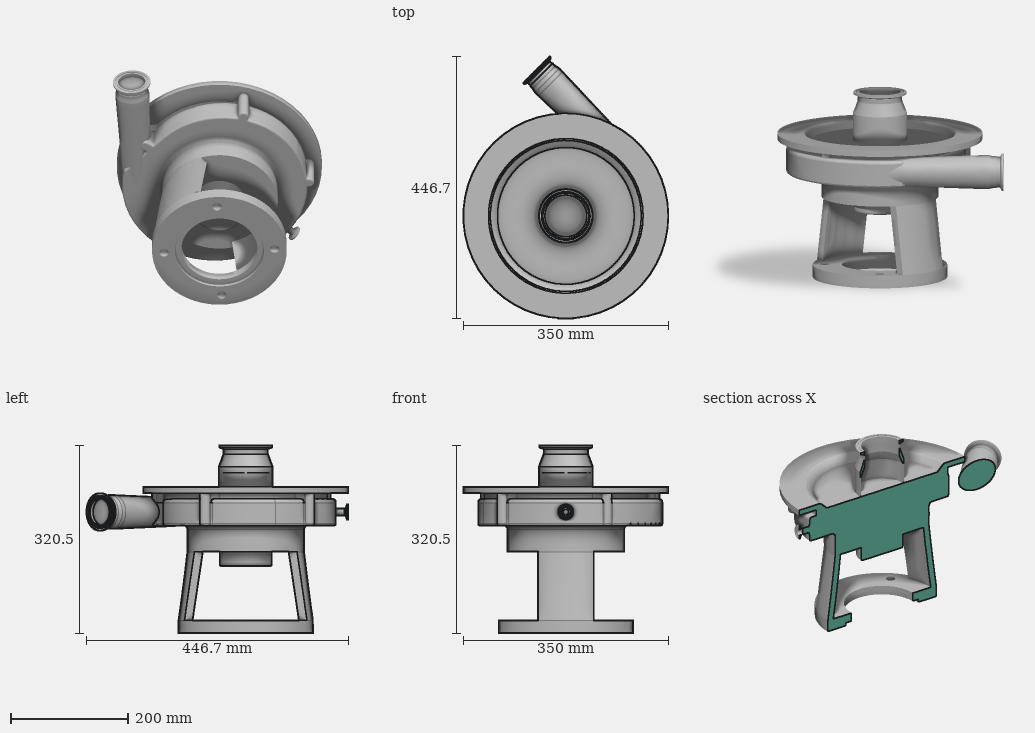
import cadquery as cq
import math

BASE_TOP = 21.5
SEAL_BOTTOM = 114.0
ADAPTER_BOTTOM = 139.0
CASING_BOTTOM = 183.0
CASING_TOP = 228.8
PLATE_BOTTOM = 238.5
PLATE_TOP = 249.5
INLET_TOP = 320.5

BASE_RADIUS = 115.0
BASE_BORE_RADIUS = 65.0
BASE_RECESS_RADIUS = 76.0
BASE_RECESS_DEPTH = 5.5
BOLT_CIRCLE_RADIUS = 94.5
BOLT_HOLE_RADIUS = 8.0
BOLT_COUNT = 4
FIRST_BOLT_ANGLE = 45

LEG_WIDTH = 95.5
LEG_WALL = 12.5
ADAPTER_RADIUS = 99.5

SEAL_RADIUS = 44.5
SEAL_FILLET = 4.0

CASING_RADIUS = 157.7
CASING_CENTRE = (7.0, 4.0)
TONGUE_RADIUS = 142.0
TONGUE_START_ANGLE = 200
TONGUE_END_ANGLE = 92
OUTLET_SIDE_ANGLE = 60
CASING_TOP_ROUND = 6.3
CASING_BOTTOM_ROUND = 3.5
COLLAR_RADIUS = 139.5
NECK_FILLET = 6.3

POST_RADIUS = 9.0
POST_COUNT = 5
POST_CIRCLE_RADIUS = 153.0
FIRST_POST_ANGLE = 9
WALL_BLEND = 2.2
COLLAR_BLEND = 12.5
POST_ANGLES = [FIRST_POST_ANGLE + index * 360 / POST_COUNT for index in range(POST_COUNT)]

TOLERANCE = 0.05

PLATE_DIAMETER = 350.0
DISH_FLOOR = PLATE_TOP - 12.5
DISH_RIM_RADIUS = 132.0
DISH_WALL_TOP_RADIUS = 128.5
DISH_FLOOR_RADIUS = 116.5
DISH_RIM_DROP = 1.5

INLET_RADIUS = 46.0
INLET_NECK_RADIUS = 38.0
INLET_FLANGE_RADIUS = 45.0
INLET_FLANGE_THICKNESS = 4.0
INLET_FLANGE_TAPER = 2.5
INLET_CONE_BOTTOM = 283.7
INLET_CONE_TOP = 305.0
INLET_BORE_RADIUS = 35.7
INLET_GROOVE_RADIUS = 40.0
INLET_WIDE_BORE_RADIUS = 44.2
INLET_BORE_CONE_BOTTOM = 273.5
INLET_BORE_CONE_TOP = 291.8

OUTLET_HEIGHT = 206.5
OUTLET_OFFSET = 140.7
OUTLET_SWING = 45
OUTLET_LENGTH = 211.5
OUTLET_FLANGE_RADIUS = 32.0
OUTLET_FLANGE_THICKNESS = 2.5
OUTLET_FLANGE_TAPER = 2.5
OUTLET_NECK_RADIUS = 26.5
OUTLET_NECK_END = 11.5
OUTLET_BEAD_RADIUS = 27.3
OUTLET_BEAD_END = 17.5
OUTLET_PIPE_RADIUS = 29.0
OUTLET_COLLAR_START = 25.0
OUTLET_COLLAR_END = 33.0
OUTLET_ROOT_RADIUS = 23.2
OUTLET_BORE_RADIUS = 23.2
OUTLET_BORE_DEPTH = 7.5
OUTLET_GROOVE_RADIUS = 27.0

NOZZLE_TIP = 175.0
NOZZLE_RADIUS = 6.3
NOZZLE_FLANGE_RADIUS = 13.0
NOZZLE_FLANGE_THICKNESS = 2.5
NOZZLE_FLANGE_TAPER = 2.2
NOZZLE_BORE_RADIUS = 5.0
NOZZLE_BORE_DEPTH = 7.5
NOZZLE_GROOVE_RADIUS = 9.5

GROOVE_WIDTH = 2.2
GROOVE_DEPTH = 1.1


def disc(radius, bottom, top, centre=(0, 0)):
    """Upright cylinder between two heights."""
    return cq.Workplane("XY", origin=(*centre, bottom)).circle(radius).extrude(top - bottom)


def turned(points):
    """Solid of revolution about Z from (radius, height) corner points."""
    return cq.Workplane("XZ").polyline(points).close().revolve(360, (0, 0), (0, 1))


def gasket_groove(radius, face):
    """Shallow ring, to be cut from an upward flange face at the given height."""
    outer = disc(radius + GROOVE_WIDTH / 2, face - GROOVE_DEPTH, face)
    return outer.cut(disc(radius - GROOVE_WIDTH / 2, face - GROOVE_DEPTH, face))


def make_base():
    """Base ring standing on the ground plane."""
    base = disc(BASE_RADIUS, 0, BASE_TOP).cut(disc(BASE_BORE_RADIUS, 0, BASE_TOP))
    base = base.cut(disc(BASE_RECESS_RADIUS, 0, BASE_RECESS_DEPTH))
    holes = (
        cq.Workplane("XY")
        .polarArray(BOLT_CIRCLE_RADIUS, FIRST_BOLT_ANGLE, 360, BOLT_COUNT)
        .circle(BOLT_HOLE_RADIUS)
        .extrude(BASE_TOP)
    )
    return base.cut(holes)


def make_legs():
    """Two opposite legs, one on the front and one on the back, between base and adapter."""
    shell = turned([
        (BASE_RADIUS - LEG_WALL, BASE_TOP),
        (BASE_RADIUS, BASE_TOP),
        (ADAPTER_RADIUS, ADAPTER_BOTTOM),
        (ADAPTER_RADIUS - LEG_WALL, ADAPTER_BOTTOM),
    ])
    slab = cq.Workplane("XY").box(LEG_WIDTH, 2 * BASE_RADIUS, ADAPTER_BOTTOM, centered=(True, True, False))
    return shell.intersect(slab)


def make_adapter():
    """Neck flaring into the casing, with the seal housing hanging from it."""
    seal = disc(SEAL_RADIUS, SEAL_BOTTOM, ADAPTER_BOTTOM).faces("<Z").edges().fillet(SEAL_FILLET)
    neck_top_radius = ADAPTER_RADIUS + NECK_FILLET
    fillet_start = CASING_BOTTOM - NECK_FILLET
    arc_reach = NECK_FILLET * (1 - math.sqrt(0.5))
    neck = (
        cq.Workplane("XZ")
        .moveTo(0, ADAPTER_BOTTOM)
        .lineTo(ADAPTER_RADIUS, ADAPTER_BOTTOM)
        .lineTo(ADAPTER_RADIUS, fillet_start)
        .threePointArc(
            (ADAPTER_RADIUS + arc_reach, CASING_BOTTOM - arc_reach),
            (neck_top_radius, CASING_BOTTOM),
        )
        .lineTo(0, CASING_BOTTOM)
        .close()
        .revolve(360, (0, 0), (0, 1))
    )
    return neck.union(seal)


def make_post(angle, bottom, top):
    """Round post with a flat-sided web of the same width running in to the pump axis."""
    height = top - bottom
    web = cq.Workplane("XY").box(POST_CIRCLE_RADIUS, 2 * POST_RADIUS, height, centered=(False, True, False))
    post = disc(POST_RADIUS, 0, height, (POST_CIRCLE_RADIUS, 0)).union(web)
    return post.translate((0, 0, bottom)).rotate((0, 0, 0), (0, 0, 1), angle)


def along_and_across(x, y, angle):
    """Split a point into distances along and across a direction given in degrees."""
    turn = math.radians(angle)
    along = x * math.cos(turn) + y * math.sin(turn)
    across = y * math.cos(turn) - x * math.sin(turn)
    return along, across


def add_posts(body, bottom, top, blend):
    """Join the posts to an upright body, with concave blends of the given radius."""
    for angle in POST_ANGLES:
        body = body.union(make_post(angle, bottom, top))

    def is_joint(edge):
        spot = edge.Center()
        for angle in POST_ANGLES:
            along, across = along_and_across(spot.x, spot.y, angle)
            on_flank = POST_RADIUS / 2 < abs(across) < POST_RADIUS + TOLERANCE
            flank_end = abs(along - POST_CIRCLE_RADIUS) < TOLERANCE
            if along > 0 and on_flank and not flank_end:
                return True
        return False

    return body.edges("|Z").filter(is_joint).fillet(blend)


def point_on_circle(centre, radius, angle):
    """Point of a circle in the direction given in degrees."""
    turn = math.radians(angle)
    return (centre[0] + radius * math.cos(turn), centre[1] + radius * math.sin(turn))


def make_volute(bottom, top):
    """Upright body whose wall follows a wide arc, a tighter one and a straight run below the outlet."""
    shift = CASING_RADIUS - TONGUE_RADIUS
    tongue_centre = point_on_circle(CASING_CENTRE, shift, TONGUE_START_ANGLE)
    casing_middle_angle = (TONGUE_START_ANGLE + OUTLET_SIDE_ANGLE + 360) / 2
    tongue_middle_angle = (TONGUE_START_ANGLE + TONGUE_END_ANGLE) / 2
    return (
        cq.Workplane("XY", origin=(0, 0, bottom))
        .moveTo(*point_on_circle(CASING_CENTRE, CASING_RADIUS, TONGUE_START_ANGLE))
        .threePointArc(
            point_on_circle(CASING_CENTRE, CASING_RADIUS, casing_middle_angle),
            point_on_circle(CASING_CENTRE, CASING_RADIUS, OUTLET_SIDE_ANGLE),
        )
        .lineTo(*point_on_circle(tongue_centre, TONGUE_RADIUS, TONGUE_END_ANGLE))
        .threePointArc(
            point_on_circle(tongue_centre, TONGUE_RADIUS, tongue_middle_angle),
            point_on_circle(CASING_CENTRE, CASING_RADIUS, TONGUE_START_ANGLE),
        )
        .close()
        .extrude(top - bottom)
    )


def make_casing():
    """Volute with rounded rims, its collar and the posts."""
    shoulder = CASING_TOP - CASING_TOP_ROUND
    body = make_volute(CASING_BOTTOM + CASING_BOTTOM_ROUND, CASING_TOP)
    body = body.faces(">Z").edges().fillet(CASING_TOP_ROUND)
    wall = add_posts(make_volute(CASING_BOTTOM, shoulder), CASING_BOTTOM, shoulder, WALL_BLEND)
    wall = wall.faces("<Z").edges().fillet(CASING_BOTTOM_ROUND)
    collar = add_posts(disc(COLLAR_RADIUS, shoulder, PLATE_BOTTOM), shoulder, PLATE_BOTTOM, COLLAR_BLEND)
    return wall.union(body).union(collar)


def make_plate():
    """Top plate, and the dish to be cut into it and the casing below."""
    plate = disc(PLATE_DIAMETER / 2, PLATE_BOTTOM, PLATE_TOP)
    dish = turned([
        (0, DISH_FLOOR),
        (DISH_FLOOR_RADIUS, DISH_FLOOR),
        (DISH_WALL_TOP_RADIUS, PLATE_TOP - DISH_RIM_DROP),
        (DISH_RIM_RADIUS, PLATE_TOP),
        (0, PLATE_TOP),
    ])
    return plate, dish


def make_inlet():
    """Flanged inlet pipe rising from the dish floor, bored down to that floor."""
    flange_bottom = INLET_TOP - INLET_FLANGE_THICKNESS
    pipe = turned([
        (0, DISH_FLOOR),
        (INLET_RADIUS, DISH_FLOOR),
        (INLET_RADIUS, INLET_CONE_BOTTOM),
        (INLET_NECK_RADIUS, INLET_CONE_TOP),
        (INLET_NECK_RADIUS, flange_bottom - INLET_FLANGE_TAPER),
        (INLET_FLANGE_RADIUS, flange_bottom),
        (INLET_FLANGE_RADIUS, INLET_TOP),
        (0, INLET_TOP),
    ])
    bore = turned([
        (0, DISH_FLOOR),
        (INLET_WIDE_BORE_RADIUS, DISH_FLOOR),
        (INLET_WIDE_BORE_RADIUS, INLET_BORE_CONE_BOTTOM),
        (INLET_BORE_RADIUS, INLET_BORE_CONE_TOP),
        (INLET_BORE_RADIUS, INLET_TOP),
        (0, INLET_TOP),
    ])
    return pipe.cut(bore).cut(gasket_groove(INLET_GROOVE_RADIUS, INLET_TOP))


def make_outlet():
    """Outlet pipe turned upright, then laid level and swung to its direction."""
    flange_back = OUTLET_LENGTH - OUTLET_FLANGE_THICKNESS
    pipe = turned([
        (0, 0),
        (OUTLET_ROOT_RADIUS, 0),
        (OUTLET_PIPE_RADIUS, OUTLET_LENGTH - OUTLET_COLLAR_END),
        (OUTLET_PIPE_RADIUS, OUTLET_LENGTH - OUTLET_COLLAR_START),
        (OUTLET_BEAD_RADIUS, OUTLET_LENGTH - OUTLET_BEAD_END),
        (OUTLET_BEAD_RADIUS, OUTLET_LENGTH - OUTLET_NECK_END),
        (OUTLET_NECK_RADIUS, OUTLET_LENGTH - OUTLET_NECK_END),
        (OUTLET_NECK_RADIUS, flange_back - OUTLET_FLANGE_TAPER),
        (OUTLET_FLANGE_RADIUS, flange_back),
        (OUTLET_FLANGE_RADIUS, OUTLET_LENGTH),
        (0, OUTLET_LENGTH),
    ])
    pipe = pipe.cut(disc(OUTLET_BORE_RADIUS, OUTLET_LENGTH - OUTLET_BORE_DEPTH, OUTLET_LENGTH))
    pipe = pipe.cut(gasket_groove(OUTLET_GROOVE_RADIUS, OUTLET_LENGTH))
    level = pipe.rotate((0, 0, 0), (1, 0, 0), -90).translate((OUTLET_OFFSET, 0, OUTLET_HEIGHT))
    return level.rotate((0, 0, 0), (0, 0, 1), OUTLET_SWING)


def make_nozzle():
    """Drain nozzle turned upright, then laid level to point along -Y."""
    flange_back = NOZZLE_TIP - NOZZLE_FLANGE_THICKNESS
    root = CASING_RADIUS / 2
    pipe = turned([
        (0, root),
        (NOZZLE_RADIUS, root),
        (NOZZLE_RADIUS, flange_back - NOZZLE_FLANGE_TAPER),
        (NOZZLE_FLANGE_RADIUS, flange_back),
        (NOZZLE_FLANGE_RADIUS, NOZZLE_TIP),
        (0, NOZZLE_TIP),
    ])
    pipe = pipe.cut(disc(NOZZLE_BORE_RADIUS, NOZZLE_TIP - NOZZLE_BORE_DEPTH, NOZZLE_TIP))
    pipe = pipe.cut(gasket_groove(NOZZLE_GROOVE_RADIUS, NOZZLE_TIP))
    return pipe.rotate((0, 0, 0), (1, 0, 0), 90).translate((0, 0, OUTLET_HEIGHT))


plate, dish = make_plate()
result = make_casing().union(plate).cut(dish)
for piece in (make_base(), make_legs(), make_adapter(), make_inlet(), make_outlet(), make_nozzle()):
    result = result.union(piece)